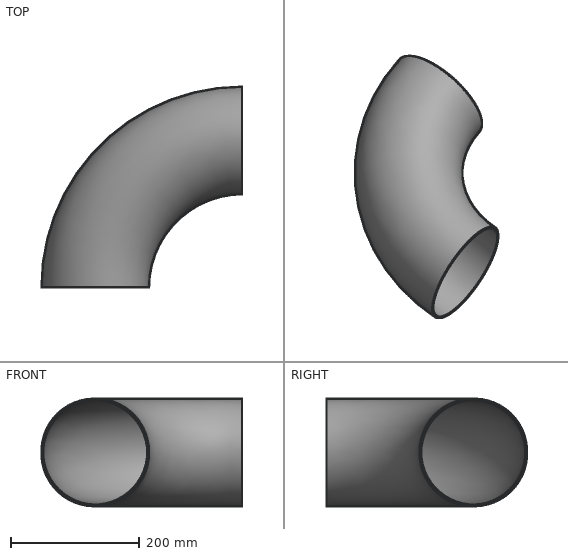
import cadquery as cq

outer_reach = 313.0
outer_diameter = 168.2
wall_thickness = 3.0
bend_angle = 90.0

outer_radius = outer_diameter / 2
inner_radius = outer_radius - wall_thickness
bend_radius = outer_reach - outer_radius

pipe_section = (
    cq.Workplane("XZ")
    .center(-bend_radius, 0)
    .circle(outer_radius)
    .circle(inner_radius)
)

axis_start = (bend_radius, 3)
axis_end = (bend_radius, -3)
result = pipe_section.revolve(bend_angle, axis_start, axis_end)